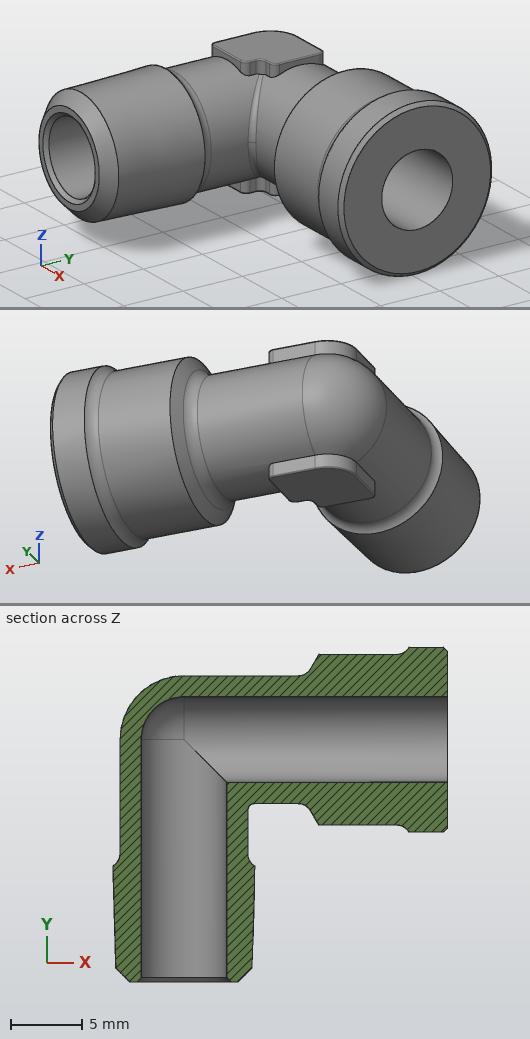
import cadquery as cq
import math

overall_length = 23.5
tube_radius = 9.0 / 2
bore_radius = 6.0 / 2
crotch_fillet = 0.4

flare_start = 8.01
flare_radius = 0.99
flare_angle = math.radians(60)
flare_length = flare_radius * math.sin(flare_angle)
flare_rise = flare_radius * (1 - math.cos(flare_angle))

socket_radius = 12.0 / 2
collar_radius = socket_radius + flare_rise
collar_flare_start = 14.92
socket_end = 18.5
collar_chamfer = 0.3

spigot_root_radius = tube_radius + flare_rise
spigot_tip_radius = 4.8
spigot_end = overall_length - collar_radius
spigot_chamfer = 0.99
mouth_chamfer = 0.3

pad_top = spigot_root_radius
pad_inner = 2.2
pad_outer = 3.7
pad_corner_radius = 0.5
pad_edge_round = 0.1


def add_flare(profile, start, radius):
    """Continue the profile with a concave flare tangent to a cylinder of the given radius."""
    half_angle = flare_angle / 2
    middle = (
        radius + flare_radius * (1 - math.cos(half_angle)),
        start + flare_radius * math.sin(half_angle),
    )
    end = (radius + flare_rise, start + flare_length)
    return profile.threePointArc(middle, end)


def revolve_leg(profile):
    """Close a (radius, distance) profile and spin it about the Y axis."""
    return profile.close().revolve(360, (0, 0, 0), (0, 1, 0))


def make_socket_leg():
    cone_length = (socket_radius - tube_radius - flare_rise) / math.tan(flare_angle)
    cone_end = flare_start + flare_length + cone_length
    profile = cq.Workplane("XY").lineTo(tube_radius, 0).lineTo(tube_radius, flare_start)
    profile = add_flare(profile, flare_start, tube_radius)
    profile = profile.lineTo(socket_radius, cone_end).lineTo(socket_radius, collar_flare_start)
    profile = add_flare(profile, collar_flare_start, socket_radius)
    profile = (
        profile.lineTo(collar_radius, socket_end - collar_chamfer)
        .lineTo(collar_radius - collar_chamfer, socket_end)
        .lineTo(0, socket_end)
    )
    return revolve_leg(profile).rotate((0, 0, 0), (0, 0, 1), -90)


def make_spigot_leg():
    profile = cq.Workplane("XY").lineTo(tube_radius, 0).lineTo(tube_radius, flare_start)
    profile = add_flare(profile, flare_start, tube_radius)
    profile = (
        profile.lineTo(spigot_tip_radius, spigot_end - spigot_chamfer)
        .lineTo(spigot_tip_radius - spigot_chamfer, spigot_end)
        .lineTo(0, spigot_end)
    )
    return revolve_leg(profile).rotate((0, 0, 0), (0, 0, 1), 180)


def make_body():
    """Join the legs with a spherical bend and round the inside corner between them."""
    body = make_socket_leg().union(make_spigot_leg())
    body = body.union(cq.Workplane("XY").sphere(tube_radius))
    return body.edges("%ELLIPSE").fillet(crotch_fillet)


def make_pad():
    """L-shaped prism from the bend's mid-plane up, with its outer bend corner fully rounded."""
    pad = (
        cq.Workplane("XY")
        .moveTo(-pad_inner, pad_inner)
        .lineTo(pad_outer, pad_inner)
        .lineTo(pad_outer, -pad_inner)
        .lineTo(pad_inner, -pad_inner)
        .lineTo(pad_inner, -pad_outer)
        .lineTo(-pad_inner, -pad_outer)
        .close()
        .extrude(pad_top)
    )
    bend_corner = cq.selectors.NearestToPointSelector((-pad_inner, pad_inner, pad_top / 2))
    pad = pad.edges("|Z").edges(bend_corner).fillet(pad_inner)
    sharp_corners = pad.edges("|Z").filter(
        lambda edge: min(abs(edge.Center().x), abs(edge.Center().y)) > pad_inner / 2
    )
    pad = sharp_corners.fillet(pad_corner_radius)
    return pad.faces(">Z").edges().fillet(pad_edge_round)


def make_bore():
    """Bore through both legs, with a spherical bend and a chamfered spigot mouth."""
    socket_bore = cq.Workplane("YZ").circle(bore_radius).extrude(socket_end)
    spigot_bore = cq.Workplane("XZ").circle(bore_radius).extrude(spigot_end)
    mouth = (
        cq.Workplane("XZ", origin=(0, -spigot_end, 0))
        .circle(bore_radius + mouth_chamfer)
        .extrude(-mouth_chamfer, taper=45)
    )
    bend = cq.Workplane("XY").sphere(bore_radius)
    return socket_bore.union(spigot_bore).union(bend).union(mouth)


pad = make_pad()
result = make_body().union(pad).union(pad.mirror("XY")).cut(make_bore())